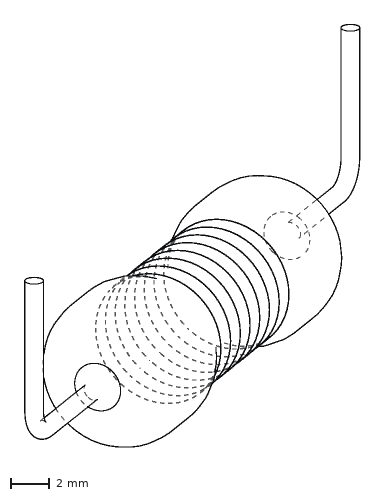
import cadquery as cq
import math

overall_length = 41.0
lead_diameter = 1.0
lead_top = 8.77
bend_radius = 1.5

cap_diameter = 8.4
core_diameter = 7.15
band_diameter = 7.18
body_half_length = 11.97
dome_radius = 3.0
shoulder_start = 6.75
stripe_width = 1.25
stripe_count = 7
root_fillet = 0.8

lead_radius = lead_diameter / 2
cap_radius = cap_diameter / 2
core_radius = core_diameter / 2
dome_start = body_half_length - dome_radius
core_half_length = stripe_count * stripe_width / 2
lead_offset = overall_length / 2 - lead_radius
diagonal = math.sqrt(0.5)


def revolve_about_y(profile):
    return profile.revolve(360, (0, 0, 0), (0, 1, 0))


def half_body():
    """Half of the body: core, S-shaped shoulder, cap and rounded dome."""
    shoulder_middle_radius = (core_radius + cap_radius) / 2
    shoulder_middle = (core_half_length + shoulder_start) / 2
    dome_middle = (
        cap_radius - dome_radius * (1 - diagonal),
        dome_start + dome_radius * diagonal,
    )
    profile = (
        cq.Workplane("XY")
        .lineTo(core_radius, 0)
        .lineTo(core_radius, core_half_length)
        .tangentArcPoint((shoulder_middle_radius, shoulder_middle), relative=False)
        .tangentArcPoint((cap_radius, shoulder_start), relative=False)
        .lineTo(cap_radius, dome_start)
        .threePointArc(dome_middle, (cap_radius - dome_radius, body_half_length))
        .lineTo(0, body_half_length)
        .close()
    )
    return revolve_about_y(profile)


def lead_root():
    """Flared collar where the lead leaves the dome."""
    root_radius = lead_radius + root_fillet
    root_middle = (
        lead_radius + root_fillet * (1 - diagonal),
        body_half_length + root_fillet * (1 - diagonal),
    )
    profile = (
        cq.Workplane("XY")
        .moveTo(0, dome_start)
        .lineTo(root_radius, dome_start)
        .lineTo(root_radius, body_half_length)
        .threePointArc(root_middle, (lead_radius, body_half_length + root_fillet))
        .lineTo(0, body_half_length + root_fillet)
        .close()
    )
    return revolve_about_y(profile)


def lead():
    """Wire from inside the dome, along +Y and around the bend up to its tip."""
    bend_middle = (
        lead_offset - bend_radius * (1 - diagonal),
        bend_radius * (1 - diagonal),
    )
    path = (
        cq.Workplane("YZ")
        .moveTo(dome_start, 0)
        .lineTo(lead_offset - bend_radius, 0)
        .threePointArc(bend_middle, (lead_offset, bend_radius))
        .lineTo(lead_offset, lead_top)
    )
    section_plane = cq.Plane(origin=(0, dome_start, 0), xDir=(1, 0, 0), normal=(0, 1, 0))
    return cq.Workplane(section_plane).circle(lead_radius).sweep(path)


def color_band(start):
    band_plane = cq.Plane(origin=(0, start, 0), xDir=(1, 0, 0), normal=(0, 1, 0))
    return cq.Workplane(band_plane).circle(band_diameter / 2).extrude(stripe_width)


half = half_body().union(lead_root()).union(lead())
result = half.union(half.mirror("XZ"), clean=True)

for index in range(0, stripe_count, 2):
    result = result.union(color_band(-core_half_length + index * stripe_width))